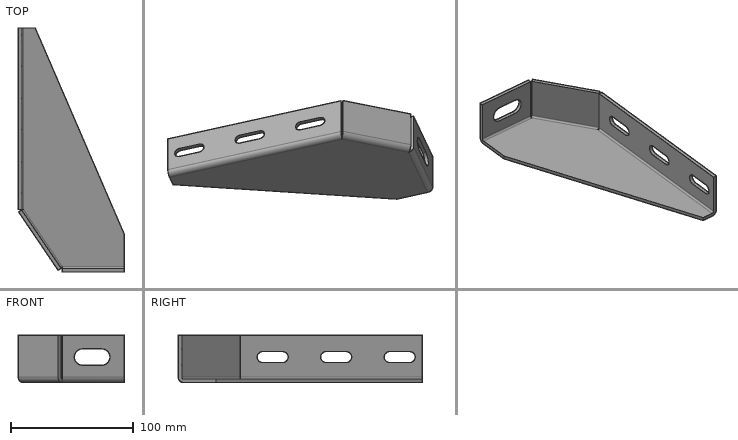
import cadquery as cq
import math

width = 87.0
length = 200.0
height = 39.0

thickness = 3.0
inner_radius = 1.5
outer_radius = thickness + inner_radius

side_flange_start = 51.0
front_flange_start = 36.0
sloped_flange_overrun = 0.8
back_edge_end = 14.0
right_edge_end = 31.0

slot_height = 21.0
side_slot_length = 25.2
side_slot_width = 8.8
side_slot_count = 3
side_slot_pitch = 52.0
side_slot_back_margin = 18.5
front_slot_length = 29.0
front_slot_width = 13.2
front_slot_x = 60.5

bend_corners = [
    (outer_radius, length),
    (outer_radius, side_flange_start),
    (front_flange_start, outer_radius),
    (width, outer_radius),
]


def make_base():
    """Flat plate inside the bend lines."""
    outline = bend_corners + [(width, right_edge_end), (back_edge_end, length)]
    return cq.Workplane("XY").polyline(outline).close().extrude(thickness)


def make_flange(start, end, overrun=0):
    """Upright flange and its bend, swept along one bend line with the base on its left.

    The flange runs past both ends of the line by the overrun.
    """
    run_x = end[0] - start[0]
    run_y = end[1] - start[1]
    run = math.hypot(run_x, run_y)
    outward = (run_y / run, -run_x / run, 0)
    origin = (start[0] - overrun * run_x / run, start[1] - overrun * run_y / run, 0)
    section = cq.Plane(origin=origin, xDir=outward, normal=(-run_x, -run_y, 0))
    diagonal = math.sqrt(0.5)
    outer_mid = (outer_radius * diagonal, outer_radius * (1 - diagonal))
    inner_mid = (inner_radius * diagonal, outer_radius - inner_radius * diagonal)
    return (
        cq.Workplane(section)
        .threePointArc(outer_mid, (outer_radius, outer_radius))
        .lineTo(outer_radius, height)
        .lineTo(inner_radius, height)
        .lineTo(inner_radius, outer_radius)
        .threePointArc(inner_mid, (0, thickness))
        .close()
        .extrude(-(run + 2 * overrun))
    )


def make_side_slots():
    """Row of slot cutters through the left flange."""
    last_y = length - side_slot_back_margin
    centers = [(last_y - i * side_slot_pitch, slot_height) for i in range(side_slot_count)]
    return (
        cq.Workplane("YZ")
        .pushPoints(centers)
        .slot2D(side_slot_length, side_slot_width)
        .extrude(outer_radius)
    )


def make_front_slot():
    """Slot cutter through the front flange."""
    return (
        cq.Workplane("XZ")
        .center(front_slot_x, slot_height)
        .slot2D(front_slot_length, front_slot_width)
        .extrude(-outer_radius)
    )


back_corner, side_corner, front_corner, right_corner = bend_corners
result = (
    make_base()
    .union(make_flange(back_corner, side_corner))
    .union(make_flange(side_corner, front_corner, sloped_flange_overrun))
    .union(make_flange(front_corner, right_corner))
    .cut(make_side_slots())
    .cut(make_front_slot())
)